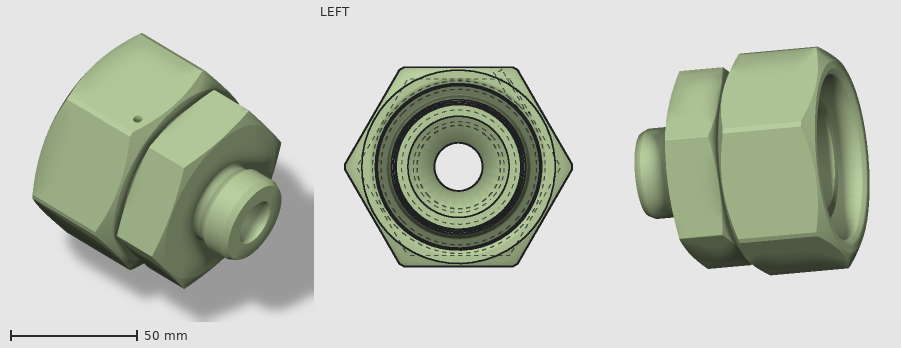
import cadquery as cq
import math

nut_length = 40.0
nut_across_flats = 79.0
nut_across_corners = 90.0
nut_face_radius = 38.3
nut_chamfer_angle = 30.0
thread_radius = 66.0 / 2
rear_bore_radius = 65.25 / 2
mouth_radius = 35.0
mouth_slope_angle = 37.0
mouth_outer_round = 1.5
mouth_inner_round = 1.0

nose_x = 9.0
shoulder_x = 25.2
hex_start_x = 41.85
hex_end_x = 63.0
fitting_length = 81.0
collar_radius = 65.0 / 2
collar_chamfer = 0.3
collar_fillet = 0.5
cone_half_angle = 12.0
cone_base_radius = 28.4
cone_root_fillet = 0.7
nose_chamfer = 0.3
hex_across_flats = 70.0
hex_across_corners = 80.6
hex_face_radius = 34.4
hex_chamfer_angle = 15.0
bore_radius = 19.0 / 2
funnel_radius = 20.1
funnel_depth = 10.6

stud_radius = 36.0 / 2
neck_radius = 32.9 / 2
neck_fillet = 1.0
neck_end_x = 67.1
stud_start_x = 69.7
tip_chamfer_length = 2.8
tip_radius = 16.65
stud_edge_round = 0.5
position_tolerance = 0.01

groove_start_x = 12.6
groove_end_x = 16.7
seal_wire_diameter = 3.2
seal_outer_radius = 25.9

wire_diameter = 3.3
wire_groove_diameter = 3.5
wire_x = 33.0
wire_ring_radius = (collar_radius + rear_bore_radius) / 2
wire_hole_y = -14.7
wire_hole_mouth_depth = 2.0
wire_hole_end_gap = 7.2


def revolve_about_x(profile):
    """Turn a closed (x, radius) profile about the X axis."""
    return profile.close().revolve(360, (0, 0, 0), (1, 0, 0))


def ring(x, ring_radius, section_diameter):
    """Round-section ring centred on the X axis."""
    section = cq.Workplane("XY").center(x, ring_radius).circle(section_diameter / 2)
    return section.revolve(360, (0, -ring_radius, 0), (1, -ring_radius, 0))


def hexagon(start_x, length, across_flats, turn):
    """Hexagonal bar along X; a turn of 0 puts corners on the Y axis."""
    corner_diameter = across_flats / math.cos(math.radians(30))
    bar = cq.Workplane("YZ", origin=(start_x, 0, 0)).polygon(6, corner_diameter).extrude(length)
    return bar.rotate((0, 0, 0), (1, 0, 0), turn)


def chamfered_hexagon(start_x, end_x, across_flats, across_corners, face_radius, angle):
    """Hexagon with flattened corners and conical chamfers at both ends."""
    length = end_x - start_x
    bar = hexagon(start_x, length, across_flats, 0)
    bar = bar.intersect(hexagon(start_x, length, across_corners, 30))
    outer_radius = across_corners / math.sqrt(3)
    cone_length = (outer_radius - face_radius) * math.tan(math.radians(angle))
    envelope = (
        cq.Workplane("XY")
        .moveTo(start_x, 0)
        .lineTo(start_x, face_radius)
        .lineTo(start_x + cone_length, outer_radius)
        .lineTo(end_x - cone_length, outer_radius)
        .lineTo(end_x, face_radius)
        .lineTo(end_x, 0)
    )
    return bar.intersect(revolve_about_x(envelope))


def nut_bore():
    """Threaded bore with a rounded conical mouth and a smaller rear bore."""
    slope = math.radians(mouth_slope_angle)
    mouth_depth = (mouth_radius - thread_radius) * math.tan(slope)
    outer_tangent = mouth_outer_round * math.tan(slope / 2)
    inner_tangent = mouth_inner_round * math.tan((math.pi / 2 - slope) / 2)
    outer_round_end = (
        outer_tangent * math.sin(slope),
        mouth_radius - outer_tangent * math.cos(slope),
    )
    inner_round_start = (
        mouth_depth - inner_tangent * math.sin(slope),
        thread_radius + inner_tangent * math.cos(slope),
    )
    profile = (
        cq.Workplane("XY")
        .lineTo(0, mouth_radius + outer_tangent)
        .radiusArc(outer_round_end, -mouth_outer_round)
        .lineTo(*inner_round_start)
        .radiusArc((mouth_depth + inner_tangent, thread_radius), -mouth_inner_round)
        .lineTo(shoulder_x, thread_radius)
        .lineTo(shoulder_x, rear_bore_radius)
        .lineTo(nut_length, rear_bore_radius)
        .lineTo(nut_length, 0)
    )
    return revolve_about_x(profile)


def wire_entry_hole():
    """Stepped hole from the top flat of the nut, aimed along a tangent of the wire groove."""
    flat_z = nut_across_flats / 2
    mouth_distance = math.hypot(wire_hole_y, flat_z)
    tangent_length = math.sqrt(mouth_distance**2 - wire_ring_radius**2)
    tilt = math.asin(wire_ring_radius / mouth_distance) - math.atan2(-wire_hole_y, flat_z)
    inward = cq.Vector(0, -math.sin(tilt), -math.cos(tilt))
    mouth = cq.Vector(wire_x, wire_hole_y, flat_z)
    overrun = wire_groove_diameter
    start = mouth - inward * overrun
    hole_length = tangent_length - wire_hole_end_gap + overrun
    hole = cq.Solid.makeCylinder(wire_diameter / 2, hole_length, start, inward)
    mouth_length = wire_hole_mouth_depth + overrun
    mouth_cut = cq.Solid.makeCylinder(wire_groove_diameter / 2, mouth_length, start, inward)
    return cq.Workplane("XY").add(hole).union(mouth_cut)


def make_nut(wire_groove):
    nut = chamfered_hexagon(
        0, nut_length, nut_across_flats, nut_across_corners, nut_face_radius, nut_chamfer_angle
    )
    return nut.cut(nut_bore()).cut(wire_groove).cut(wire_entry_hole())


def nose_and_collar():
    """Sealing cone with its O-ring groove, running into the collar."""
    slope = math.tan(math.radians(cone_half_angle))

    def cone_radius(x):
        return cone_base_radius - (shoulder_x - x) * slope

    groove_floor = seal_outer_radius - seal_wire_diameter
    root_x = shoulder_x - cone_root_fillet
    profile = (
        cq.Workplane("XY")
        .moveTo(nose_x, 0)
        .lineTo(nose_x, cone_radius(nose_x) - nose_chamfer)
        .lineTo(nose_x + nose_chamfer, cone_radius(nose_x + nose_chamfer))
        .lineTo(groove_start_x, cone_radius(groove_start_x))
        .lineTo(groove_start_x, groove_floor)
        .lineTo(groove_end_x, groove_floor)
        .lineTo(groove_end_x, cone_radius(groove_end_x))
        .lineTo(root_x, cone_radius(root_x))
        .radiusArc((shoulder_x, cone_base_radius + cone_root_fillet), -cone_root_fillet)
        .lineTo(shoulder_x, collar_radius - collar_chamfer)
        .lineTo(shoulder_x + collar_chamfer, collar_radius)
        .lineTo(hex_start_x - collar_fillet, collar_radius)
        .radiusArc((hex_start_x, collar_radius + collar_fillet), -collar_fillet)
        .lineTo(hex_start_x, 0)
    )
    return revolve_about_x(profile)


def round_edges(body, edge_x, radius):
    """Round the circular edge that lies in the plane X = edge_x."""
    edges = body.edges("%CIRCLE").filter(lambda edge: abs(edge.Center().x - edge_x) < position_tolerance)
    return edges.fillet(radius)


def stud():
    """Undercut neck and plain cylindrical thread with a chamfered tip."""
    profile = (
        cq.Workplane("XY")
        .moveTo(hex_end_x, 0)
        .lineTo(hex_end_x, neck_radius + neck_fillet)
        .radiusArc((hex_end_x + neck_fillet, neck_radius), -neck_fillet)
        .lineTo(neck_end_x, neck_radius)
        .lineTo(stud_start_x, stud_radius)
        .lineTo(fitting_length - tip_chamfer_length, stud_radius)
        .lineTo(fitting_length, tip_radius)
        .lineTo(fitting_length, 0)
    )
    body = revolve_about_x(profile)
    body = round_edges(body, neck_end_x, neck_fillet)
    body = round_edges(body, stud_start_x, stud_edge_round)
    return round_edges(body, fitting_length - tip_chamfer_length, stud_edge_round)


def through_bore():
    """Conical funnel in the nose leading into the straight bore."""
    funnel_end_x = nose_x + funnel_depth
    profile = (
        cq.Workplane("XY")
        .moveTo(nose_x, 0)
        .lineTo(nose_x, funnel_radius)
        .lineTo(funnel_end_x, bore_radius)
        .lineTo(fitting_length, bore_radius)
        .lineTo(fitting_length, 0)
    )
    return revolve_about_x(profile)


def make_fitting(wire_groove):
    fitting = chamfered_hexagon(
        hex_start_x, hex_end_x, hex_across_flats, hex_across_corners, hex_face_radius, hex_chamfer_angle
    )
    fitting = fitting.union(nose_and_collar()).union(stud())
    return fitting.cut(through_bore()).cut(wire_groove)


def make_seal():
    seal_x = (groove_start_x + groove_end_x) / 2
    return ring(seal_x, seal_outer_radius - seal_wire_diameter / 2, seal_wire_diameter)


def make_retaining_wire():
    return ring(wire_x, wire_ring_radius, wire_diameter)


wire_groove = ring(wire_x, wire_ring_radius, wire_groove_diameter)
nut = make_nut(wire_groove)
fitting = make_fitting(wire_groove)
seal = make_seal()
retaining_wire = make_retaining_wire()

result = cq.Compound.makeCompound(
    [nut.solids().val(), fitting.solids().val(), seal.val(), retaining_wire.val()]
)